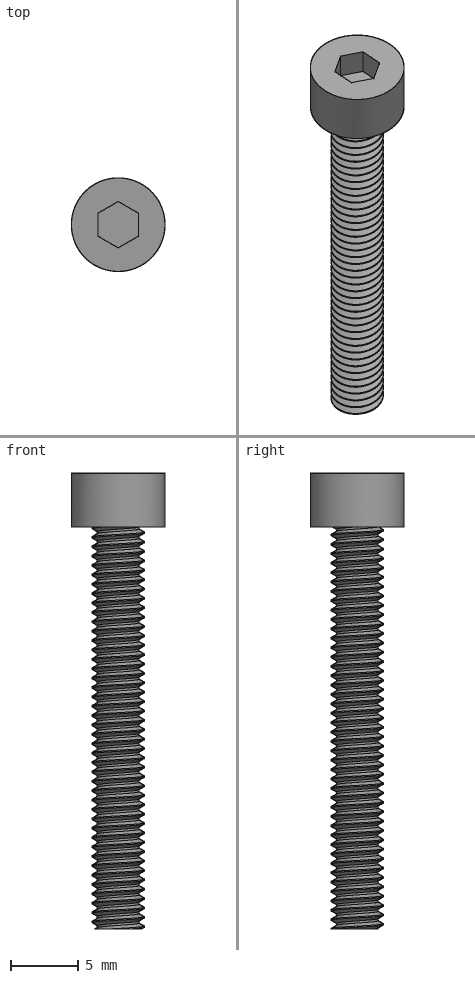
import cadquery as cq
import math

total_length = 34.0

head_diameter = 7.0
head_height = 4.0

socket_across_flats = 3.0
socket_depth = 2.0

shank_length = total_length - head_height
crest_radius = 3.9 / 2
root_radius = 3.13 / 2
turns_along_shank = 42.86
thread_pitch = shank_length / turns_along_shank
crest_width = thread_pitch / 8
first_crest_drop = 0.07
flank_angle = 30.0

ridge_embedment = 0.07

overrun_turns = 2
overrun = overrun_turns * thread_pitch


def make_head():
    """Plain cylinder with a hexagon socket that has two flats facing +X and -X."""
    socket_across_corners = socket_across_flats / math.cos(math.radians(30))
    socket = (
        cq.Workplane("XY")
        .workplane(offset=head_height - socket_depth)
        .polygon(6, socket_across_corners)
        .extrude(socket_depth)
        .rotate((0, 0, 0), (0, 0, 1), 30)
    )
    return cq.Workplane("XY").circle(head_diameter / 2).extrude(head_height).cut(socket)


def make_thread_ridge():
    """Right-hand helical ridge whose first crest under the head is on the -X side."""
    base_radius = root_radius - ridge_embedment
    half_crest = crest_width / 2
    half_base = half_crest + (crest_radius - base_radius) * math.tan(math.radians(flank_angle))
    profile = (
        cq.Workplane("XZ")
        .polyline([
            (base_radius, -half_base),
            (crest_radius, -half_crest),
            (crest_radius, half_crest),
            (base_radius, half_base),
        ])
        .close()
    )

    turn_count = math.ceil(turns_along_shank) + 2 * overrun_turns
    one_turn = cq.Wire.makeHelix(thread_pitch, thread_pitch, base_radius)
    turns = [one_turn.translate(cq.Vector(0, 0, i * thread_pitch)) for i in range(turn_count)]
    path = cq.Wire.combine(turns)[0]
    ridge = profile.sweep(cq.Workplane(path), isFrenet=True)

    start_z = (overrun_turns - turn_count) * thread_pitch - first_crest_drop
    return ridge.rotate((0, 0, 0), (0, 0, 1), 180).translate((0, 0, start_z))


def make_threaded_shank():
    core = (
        cq.Workplane("XY")
        .workplane(offset=overrun)
        .circle(root_radius)
        .extrude(-shank_length - 2 * overrun)
    )
    trim_block = cq.Workplane("XY").circle(head_diameter / 2).extrude(-shank_length)
    return core.union(make_thread_ridge()).intersect(trim_block)


result = make_head().union(make_threaded_shank())